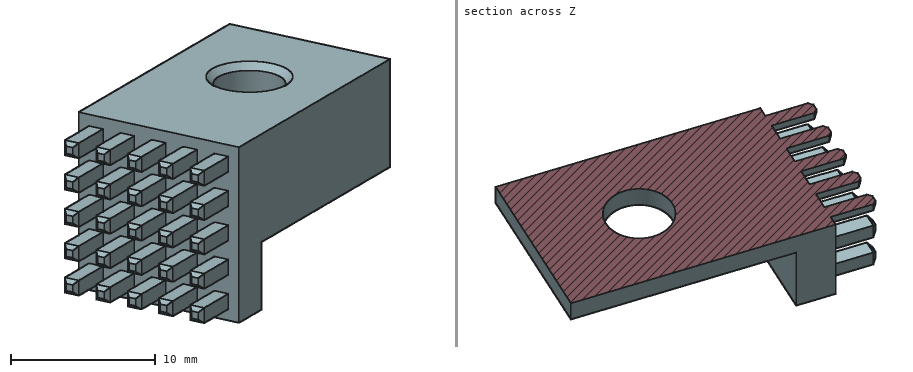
import cadquery as cq

body_width = 13.0
body_length = 20.0
body_height = 13.0
block_height = 8.0
flange_thickness = 3.0

hole_diameter = 5.0
hole_chamfer = 0.5
hole_from_back = 8.0

pins_per_side = 5
pin_pitch = 2.54
pin_size = 1.13
pin_length = 3.5
pin_chamfer = 0.3


def make_body():
    """L-shaped profile in the YZ plane, extruded across X; front face at Y = 0."""
    block_bottom = body_height - block_height
    profile = [
        (0, 0),
        (flange_thickness, 0),
        (flange_thickness, block_bottom),
        (body_length, block_bottom),
        (body_length, body_height),
        (0, body_height),
    ]
    return cq.Workplane("YZ").polyline(profile).close().extrude(body_width / 2, both=True)


def cut_hole(body):
    """Through hole with a conical lead-in on the top face."""
    hole_y = body_length - hole_from_back
    mouth_radius = hole_diameter / 2 + hole_chamfer
    cutter_profile = [
        (0, 0),
        (hole_diameter / 2, 0),
        (hole_diameter / 2, body_height - hole_chamfer),
        (mouth_radius, body_height),
        (0, body_height),
    ]
    cutter = cq.Workplane("XZ").polyline(cutter_profile).close().revolve(360, (0, 0, 0), (0, 1, 0))
    return body.cut(cutter.translate((0, hole_y, 0)))


def make_pin():
    """Square pin along -Y from the origin, with its four tip edges chamfered."""
    pin = cq.Workplane("XZ").rect(pin_size, pin_size).extrude(pin_length)
    return pin.faces("<Y").edges().chamfer(pin_chamfer)


def add_pins(body):
    """Pins centred on the front face."""
    pin = make_pin()
    middle = (pins_per_side - 1) / 2
    for column in range(pins_per_side):
        for row in range(pins_per_side):
            pin_x = (column - middle) * pin_pitch
            pin_z = body_height / 2 + (row - middle) * pin_pitch
            body = body.union(pin.translate((pin_x, 0, pin_z)))
    return body


result = add_pins(cut_hole(make_body()))